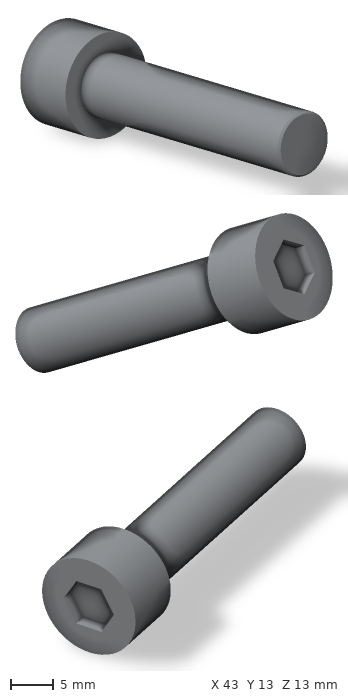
import cadquery as cq
import math

total_length = 43.0
shank_diameter = 8.0
head_diameter = 13.0
head_length = shank_diameter
tip_chamfer = 0.25
socket_across_flats = 6.0
socket_depth = 1.5


def make_head():
    return cq.Workplane("YZ").circle(head_diameter / 2).extrude(head_length)


def make_shank():
    shank = cq.Workplane("YZ").circle(shank_diameter / 2).extrude(total_length)
    return shank.faces(">X").chamfer(tip_chamfer)


def make_socket():
    across_corners = socket_across_flats / math.cos(math.radians(30))
    return cq.Workplane("YZ").polygon(6, across_corners).extrude(socket_depth)


result = make_head().union(make_shank()).cut(make_socket())